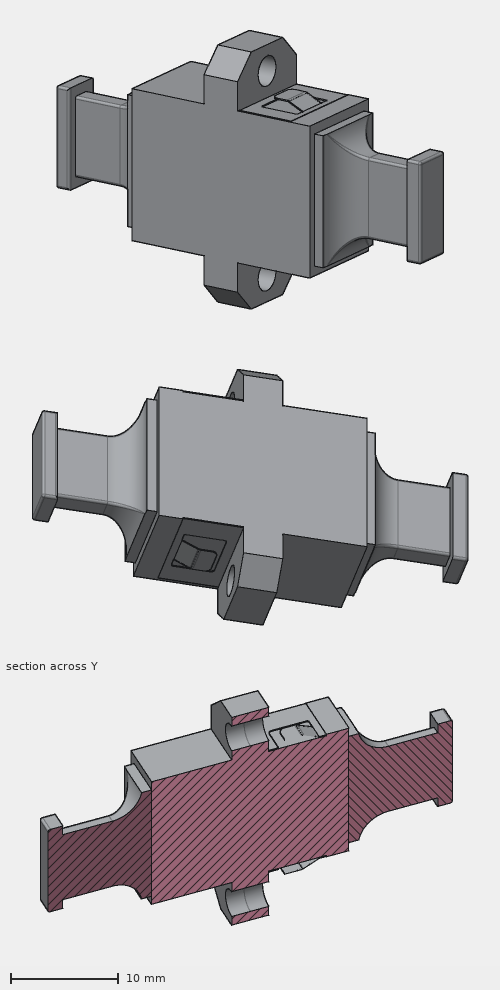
import cadquery as cq
import math

housing_length = 19.95
housing_width = 9.8
housing_height = 14.87

ear_thickness = 3.75
ear_span = 25.15
ear_corner = 2.3
ear_hole_diameter = 2.95
ear_hole_spacing = 20.02

pocket_depth = 0.15
pocket_end_x = 7.7
pocket_wall = 0.3

overall_length = 40.85
cap_plate_thickness = 1.0
cap_plate_width = 8.25
cap_plate_height = 12.9
flare_radius = 3.0
stem_width = 2.0
stem_height = 7.93
grip_thickness = 1.5
grip_width = 4.0
grip_height = 10.0
cap_edge_radius = 0.25

sheet = 0.12
window_start_x = 2.85
window_end_x = 6.95
window_width = 5.05
window_corner = 0.33
slot_end_corner = 0.15
tongue_tip_x = 3.47
tongue_bend_x = 5.27
tongue_width = 3.05
tongue_corner = 0.57
tongue_top_z = 8.17
tongue_bend_radius = 0.65

pocket_start_x = ear_thickness / 2
pocket_length = pocket_end_x - pocket_start_x
pocket_width = housing_width - pocket_wall
pocket_centre_x = (pocket_start_x + pocket_end_x) / 2
pocket_centre_y = pocket_wall / 2
pocket_floor_z = housing_height / 2 - pocket_depth

cap_start_x = housing_length / 2
flare_end_x = cap_start_x + cap_plate_thickness
stem_start_x = flare_end_x + flare_radius
cap_end_x = overall_length / 2
grip_start_x = cap_end_x - grip_thickness


def block(start_x, end_x, width, height):
    """Box centred on the X axis that runs from start_x to end_x."""
    length = end_x - start_x
    return cq.Workplane("XY").box(length, width, height).translate((start_x + length / 2, 0, 0))


def make_housing():
    """Block with a pair of drilled ears and a clip pocket in the top and bottom."""
    body = cq.Workplane("XY").box(housing_length, housing_width, housing_height)
    ears = (
        cq.Workplane("XY")
        .box(ear_thickness, housing_width, ear_span)
        .edges("|X")
        .chamfer(ear_corner)
    )
    holes = (
        cq.Workplane("YZ")
        .pushPoints([(0, ear_hole_spacing / 2), (0, -ear_hole_spacing / 2)])
        .circle(ear_hole_diameter / 2)
        .extrude(ear_thickness / 2, both=True)
    )
    body = body.union(ears).cut(holes)
    for side in (1, -1):
        pocket_z = side * (housing_height - pocket_depth) / 2
        pocket = cq.Workplane("XY").box(pocket_length, pocket_width, pocket_depth)
        body = body.cut(pocket.translate((pocket_centre_x, pocket_centre_y, pocket_z)))
    return body


def trumpet(plane, stem_size, depth):
    """Stem and its concave flare, outlined along X and extruded to both sides of the plane."""
    stem_half = stem_size / 2
    rim_half = stem_half + flare_radius
    mid_x = stem_start_x - flare_radius * math.sqrt(0.5)
    mid_half = rim_half - flare_radius * math.sqrt(0.5)
    return (
        cq.Workplane(plane)
        .moveTo(flare_end_x, -rim_half)
        .threePointArc((mid_x, -mid_half), (stem_start_x, -stem_half))
        .lineTo(grip_start_x, -stem_half)
        .lineTo(grip_start_x, stem_half)
        .lineTo(stem_start_x, stem_half)
        .threePointArc((mid_x, mid_half), (flare_end_x, rim_half))
        .close()
        .extrude(depth, both=True)
    )


def make_cap():
    """Dust cap at the +X end: plate, flared stem and grip."""
    plate = block(cap_start_x, flare_end_x, cap_plate_width, cap_plate_height)

    side_outline = trumpet("XZ", stem_height, cap_plate_width)
    top_outline = trumpet("XY", stem_width, cap_plate_height)
    stem_blank = side_outline.intersect(top_outline)
    long_edges = stem_blank.edges("not(|Y or |Z)")
    stem = long_edges.fillet(cap_edge_radius)
    stem = stem.intersect(block(flare_end_x, grip_start_x, cap_plate_width, cap_plate_height))

    grip = (
        block(grip_start_x, cap_end_x, grip_width, grip_height)
        .edges(">X or |X or (|Z and >Y)")
        .fillet(cap_edge_radius)
    )
    return plate.union(stem).union(grip)


def make_clip_plate():
    """Flat sheet that lies in the upper pocket, with a window around the tongue."""
    plate = (
        cq.Workplane("XY", origin=(pocket_centre_x, pocket_centre_y, pocket_floor_z))
        .rect(pocket_length, pocket_width)
        .extrude(sheet)
    )
    window_length = window_end_x - window_start_x
    window = (
        cq.Workplane("XY", origin=(window_start_x + window_length / 2, 0, pocket_floor_z))
        .rect(window_length, window_width)
        .extrude(sheet)
        .edges("|Z and <X")
        .fillet(window_corner)
        .edges("|Z and >X")
        .fillet(slot_end_corner)
    )
    return plate.cut(window)


def make_clip():
    """Upper spring clip: a flat sheet with a window and a raised tongue in it."""
    raised_z = tongue_top_z - sheet
    tongue = (
        cq.Workplane("XZ")
        .moveTo(tongue_tip_x, raised_z)
        .lineTo(tongue_bend_x, raised_z)
        .lineTo(window_end_x, pocket_floor_z)
        .lineTo(window_end_x, pocket_floor_z + sheet)
        .lineTo(tongue_bend_x, tongue_top_z)
        .lineTo(tongue_tip_x, tongue_top_z)
        .close()
        .extrude(tongue_width / 2, both=True)
    )
    tongue = tongue.edges("|Z and <X").fillet(tongue_corner)
    bend_top = cq.selectors.NearestToPointSelector((tongue_bend_x, 0, tongue_top_z))
    tongue = tongue.edges("|Y").edges(bend_top).fillet(tongue_bend_radius)
    return make_clip_plate().union(tongue)


housing = make_housing()

right_cap = make_cap()
left_cap = right_cap.rotate((0, 0, 0), (0, 0, 1), 180)

upper_clip = make_clip()
lower_clip = upper_clip.mirror("XY")

result = cq.Compound.makeCompound(
    [housing.val(), right_cap.val(), left_cap.val(), upper_clip.val(), lower_clip.val()]
)